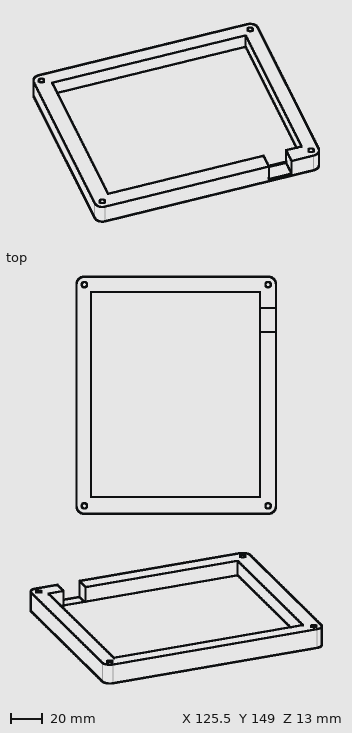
import cadquery as cq

length_x = 125.5
length_y = 149.0
height = 13.0
corner_radius = 5.0

wall_left = 9.2
wall_right = 10.3
wall_front = 10.7
wall_back = 9.5
pocket_depth = 11.0
pocket_x = length_x - wall_left - wall_right
pocket_y = length_y - wall_front - wall_back
pocket_floor = height - pocket_depth

notch_width = 15.0
notch_from_back = 19.8
notch_front = length_y - notch_from_back - notch_width

hole_diameter = 3.5
hole_depth = pocket_depth

sheet_thickness = 1.0


def corner_box(size_x, size_y, size_z, corner):
    """Make a box whose lowest corner is at the given point."""
    return cq.Workplane("XY").box(size_x, size_y, size_z, centered=False).translate(corner)


def make_tray():
    tray = corner_box(length_x, length_y, height, (0, 0, 0)).edges("|Z").fillet(corner_radius)
    pocket = corner_box(pocket_x, pocket_y, pocket_depth, (wall_left, wall_front, pocket_floor))
    notch = corner_box(
        wall_right, notch_width, pocket_depth, (length_x - wall_right, notch_front, pocket_floor)
    )
    hole_centers = [
        (x, y)
        for x in (corner_radius, length_x - corner_radius)
        for y in (corner_radius, length_y - corner_radius)
    ]
    holes = (
        cq.Workplane("XY")
        .workplane(offset=height)
        .pushPoints(hole_centers)
        .circle(hole_diameter / 2)
        .extrude(-hole_depth)
    )
    return tray.cut(pocket).cut(notch).cut(holes).solids()


def make_floor_sheet():
    return corner_box(pocket_x, pocket_y, sheet_thickness, (wall_left, wall_front, pocket_floor))


tray = make_tray()
floor_sheet = make_floor_sheet()
result = cq.Compound.makeCompound([tray.val(), floor_sheet.val()])